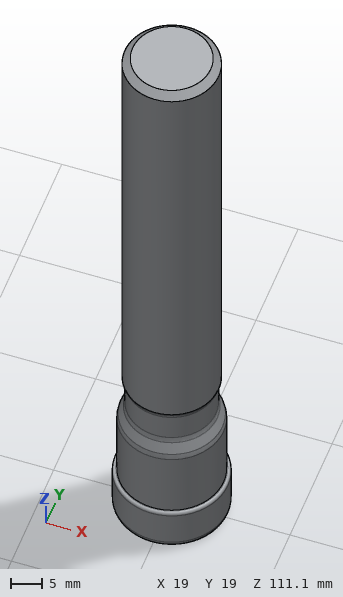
import cadquery as cq

TOTAL_LENGTH = 111.1

HEAD_RADIUS = 19.0 / 2
HEAD_HEIGHT = 8.7
HEAD_BOTTOM_FILLET = 1.6
HEAD_TOP_FILLET = 0.6

COLLAR_RADIUS = 17.6 / 2
NECK_RADIUS = 15.0 / 2
SHANK_RADIUS = 15.9 / 2
CONE_BOTTOM_Z = 21.9
CONE_TOP_Z = 24.8
CONE_BLEND_RADIUS = 2.6
STEP_BOTTOM_Z = 30.7
STEP_TOP_Z = 31.6
STEP_BLEND_RADIUS = 1.3
END_CHAMFER_WIDTH = 1.3
END_CHAMFER_HEIGHT = 1.2

SELECTION_MARGIN = 0.06


def edges_at_height(z):
    """Selector for the circular edges lying at height z."""
    reach = HEAD_RADIUS
    low_corner = (-reach, -reach, z - SELECTION_MARGIN)
    high_corner = (reach, reach, z + SELECTION_MARGIN)
    return cq.selectors.BoxSelector(low_corner, high_corner, boundingbox=True)


def make_head():
    """Solid disc with a large bottom rounding and a small top rounding."""
    disc = cq.Workplane("XY").circle(HEAD_RADIUS).extrude(HEAD_HEIGHT)
    disc = disc.faces("<Z").edges().fillet(HEAD_BOTTOM_FILLET)
    return disc.faces(">Z").edges().fillet(HEAD_TOP_FILLET)


def make_shaft():
    """Turned shaft that stands on the head, with its conical transitions blended."""
    shaft = (
        cq.Workplane("XZ")
        .moveTo(0, HEAD_HEIGHT)
        .lineTo(COLLAR_RADIUS, HEAD_HEIGHT)
        .lineTo(COLLAR_RADIUS, CONE_BOTTOM_Z)
        .lineTo(NECK_RADIUS, CONE_TOP_Z)
        .lineTo(NECK_RADIUS, STEP_BOTTOM_Z)
        .lineTo(SHANK_RADIUS, STEP_TOP_Z)
        .lineTo(SHANK_RADIUS, TOTAL_LENGTH - END_CHAMFER_HEIGHT)
        .lineTo(SHANK_RADIUS - END_CHAMFER_WIDTH, TOTAL_LENGTH)
        .lineTo(0, TOTAL_LENGTH)
        .close()
        .revolve(360, (0, 0, 0), (0, 1, 0))
    )
    for z in (CONE_BOTTOM_Z, CONE_TOP_Z):
        shaft = shaft.edges(edges_at_height(z)).fillet(CONE_BLEND_RADIUS)
    return shaft.edges(edges_at_height(STEP_BOTTOM_Z)).fillet(STEP_BLEND_RADIUS)


head = make_head()
shaft = make_shaft()

result = cq.Compound.makeCompound([head.val(), shaft.val()])